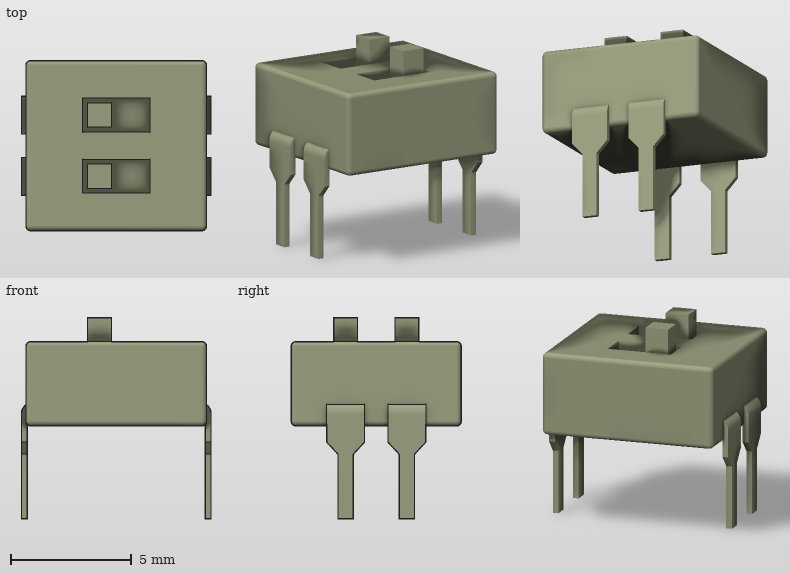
import cadquery as cq
import math

total_height = 8.35
overall_length = 7.87
pole_pitch = 2.54
pole_positions = [-pole_pitch / 2, pole_pitch / 2]

housing_length = 7.5
housing_width = 7.06
housing_height = 3.51
edge_radius = 0.2

knob_size = 1.0
knob_rise = 0.99
slot_depth = 1.0
slot_clearance = 0.2
slot_length = 2.8
slot_width = knob_size + 2 * slot_clearance
slot_floor = housing_height - slot_depth
knob_x = -slot_length / 2 + slot_clearance + knob_size / 2
actuator_width = pole_pitch + slot_width

lead_thickness = 0.25
bend_radius = 0.5
bend_top = 1.0
lead_bottom = housing_height + knob_rise - total_height
lead_wide = 1.58
lead_narrow = 0.64
taper_top = -0.67
taper_bottom = -1.17


def box_on(length, width, height, x, y, base):
    """Box centred on (x, y), standing on the height base."""
    box = cq.Workplane("XY").box(length, width, height, centered=(True, True, False))
    return box.translate((x, y, base))


def make_actuator():
    """Insert that forms the slot floors and carries both knobs."""
    actuator = box_on(slot_length, actuator_width, slot_floor, 0, 0, 0)
    knob_height = slot_depth + knob_rise
    for y in pole_positions:
        actuator = actuator.union(box_on(knob_size, knob_size, knob_height, knob_x, y, slot_floor))
    return actuator


def make_lead(y):
    """Left-hand lead: a tapered blade whose top bends inward by a quarter turn."""
    outer_x = -overall_length / 2
    inner_x = outer_x + lead_thickness
    bend_x = outer_x + bend_radius
    bend_z = bend_top - bend_radius
    inner_radius = bend_radius - lead_thickness
    diagonal = math.sqrt(0.5)
    bent_strip = (
        cq.Workplane("XZ")
        .moveTo(outer_x, lead_bottom)
        .lineTo(outer_x, bend_z)
        .threePointArc(
            (bend_x - bend_radius * diagonal, bend_z + bend_radius * diagonal),
            (bend_x, bend_top),
        )
        .lineTo(bend_x, bend_top - lead_thickness)
        .threePointArc(
            (bend_x - inner_radius * diagonal, bend_z + inner_radius * diagonal),
            (inner_x, bend_z),
        )
        .lineTo(inner_x, lead_bottom)
        .close()
        .extrude(lead_wide / 2, both=True)
    )
    blade_outline = (
        cq.Workplane("YZ", origin=(outer_x, 0, 0))
        .polyline([
            (-lead_narrow / 2, lead_bottom),
            (lead_narrow / 2, lead_bottom),
            (lead_narrow / 2, taper_bottom),
            (lead_wide / 2, taper_top),
            (lead_wide / 2, bend_top),
            (-lead_wide / 2, bend_top),
            (-lead_wide / 2, taper_top),
            (-lead_narrow / 2, taper_bottom),
        ])
        .close()
        .extrude(bend_radius)
    )
    return bent_strip.intersect(blade_outline).translate((0, y, 0))


def make_housing(actuator, leads):
    """Rounded block with open slots and matching recesses for the other bodies."""
    housing = box_on(housing_length, housing_width, housing_height, 0, 0, 0).edges().fillet(edge_radius)
    for y in pole_positions:
        housing = housing.cut(box_on(slot_length, slot_width, slot_depth, 0, y, slot_floor))
    housing = housing.cut(actuator)
    for lead in leads:
        housing = housing.cut(lead)
    return housing


actuator = make_actuator()
leads = []
for pole_y in pole_positions:
    left_lead = make_lead(pole_y)
    leads.append(left_lead)
    leads.append(left_lead.mirror("YZ"))
housing = make_housing(actuator, leads)

result = cq.Compound.makeCompound([
    housing.val(),
    actuator.val(),
    *[lead.val() for lead in leads],
])